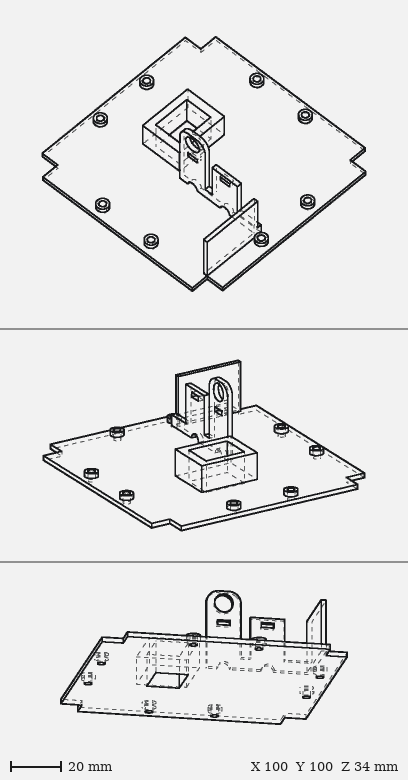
import cadquery as cq

base_size = 100.0
base_thickness = 2.0
corner_notch = 8.6
notch_edge = base_size / 2 - corner_notch

boss_diameter = 5.6
boss_bore = 3.0
boss_top = 4.0
boss_edge_offset = 44.6
boss_half_pitch = 13.4

box_left = -24.4
box_right = -4.0
box_front = -10.0
box_back = 16.0
box_top = 13.5
window_left = -20.9
window_right = -7.7
window_front = -6.1
window_back = 11.9

wall_back = -10.2
wall_thickness = 2.3
wall_left = -1.4
wall_right = notch_edge
strip_top = 6.7
tab_width = 14.0
tab_pitch = 17.9
tall_tab_top = 34.0
short_tab_top = 23.7
tall_tab_corner_radius = 4.9
eye_diameter = 7.5
eye_height = 29.0
slot_width = 5.2
slot_height = 2.0
slot_center_height = 20.8
foot_hole_diameter = 5.2
foot_hole_height = 1.9

end_plate_thickness = 2.0
end_plate_top = 23.4
end_plate_front = -notch_edge
end_plate_back = -12.2


def block(x_range, y_range, z_range):
    """Box spanning the given (low, high) ranges."""
    lows, highs = zip(x_range, y_range, z_range)
    sizes = [high - low for low, high in zip(lows, highs)]
    return cq.Workplane("XY").box(*sizes, centered=False).translate(lows)


def make_base():
    full = (-base_size / 2, base_size / 2)
    inner = (-notch_edge, notch_edge)
    height = (0, base_thickness)
    return block(full, inner, height).union(block(inner, full, height))


def boss_centers():
    centers = []
    for edge in (-boss_edge_offset, boss_edge_offset):
        for along in (-boss_half_pitch, boss_half_pitch):
            centers += [(edge, along), (along, edge)]
    return centers


def round_columns(diameter):
    """Columns at every boss position, from the underside to the boss top."""
    return cq.Workplane("XY").pushPoints(boss_centers()).circle(diameter / 2).extrude(boss_top)


def make_bracket():
    wall_depth = (wall_back - wall_thickness, wall_back)
    tall_center = wall_left + tab_width / 2
    short_center = tall_center + tab_pitch
    short_left = wall_left + tab_pitch

    strip = block((wall_left, wall_right), wall_depth, (0, strip_top))
    tall_tab = block((wall_left, wall_left + tab_width), wall_depth, (0, tall_tab_top))
    tall_tab = tall_tab.edges("|Y and >Z").fillet(tall_tab_corner_radius)
    short_tab = block((short_left, short_left + tab_width), wall_depth, (0, short_tab_top))

    back_face = cq.Workplane("XZ", origin=(0, wall_back, 0))
    tab_centers = (tall_center, short_center)
    slots = (
        back_face.pushPoints([(x, slot_center_height) for x in tab_centers])
        .rect(slot_width, slot_height)
        .extrude(wall_thickness)
    )
    foot_holes = (
        back_face.pushPoints([(x, foot_hole_height) for x in tab_centers])
        .circle(foot_hole_diameter / 2)
        .extrude(wall_thickness)
    )
    eye = back_face.center(tall_center, eye_height).circle(eye_diameter / 2).extrude(wall_thickness)

    bracket = strip.union(tall_tab).union(short_tab)
    return bracket.cut(slots).cut(foot_holes).cut(eye)


box = block((box_left, box_right), (box_front, box_back), (0, box_top))
window = block((window_left, window_right), (window_front, window_back), (0, box_top))
end_plate = block(
    (wall_right - end_plate_thickness, wall_right),
    (end_plate_front, end_plate_back),
    (0, end_plate_top),
)

result = (
    make_bracket()
    .union(end_plate)
    .union(make_base())
    .union(box)
    .union(round_columns(boss_diameter))
    .cut(window)
    .cut(round_columns(boss_bore))
)